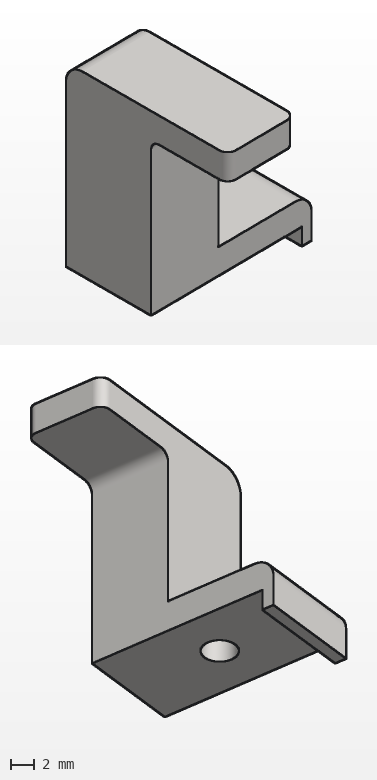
import cadquery as cq

length_x = 19.0
length_y = 19.07
height = 23.0

post_width = 10.0
post_depth = 8.0
arm_thickness = 3.0
lip_height = 2.0
lip_thickness = 1.17

outer_radius = 2.0
inner_radius = 1.0
tip_radius = 1.0

hole_diameter = 3.2
hole_x = post_width / 2
hole_y = post_depth + hole_diameter / 2


def make_upper_bracket():
    """Post with an arm reaching toward +X at its top."""
    arm_underside = height - arm_thickness
    bracket = (
        cq.Workplane("XZ")
        .moveTo(0, lip_height)
        .lineTo(post_width, lip_height)
        .lineTo(post_width, arm_underside)
        .lineTo(length_x, arm_underside)
        .lineTo(length_x, height)
        .lineTo(0, height)
        .close()
        .extrude(-post_depth)
    )
    bracket = bracket.edges("|Y and <X and >Z").fillet(outer_radius)
    inner_corner = cq.NearestToPointSelector((post_width, post_depth / 2, arm_underside))
    bracket = bracket.edges("|Y").edges(inner_corner).fillet(inner_radius)
    return bracket.edges("|Z and >X").fillet(tip_radius)


def make_lower_arm():
    """Arm reaching toward +Y below the post, with a lip hanging from its end."""
    arm_top = lip_height + arm_thickness
    arm = (
        cq.Workplane("YZ")
        .moveTo(0, lip_height)
        .lineTo(length_y - lip_thickness, lip_height)
        .lineTo(length_y - lip_thickness, 0)
        .lineTo(length_y, 0)
        .lineTo(length_y, arm_top)
        .lineTo(0, arm_top)
        .close()
        .extrude(post_width)
    )
    return arm.edges("|X and >Y and >Z").fillet(outer_radius)


def make_hole():
    """Vertical cutter through the full thickness of the lower arm."""
    return (
        cq.Workplane("XY", origin=(hole_x, hole_y, lip_height))
        .circle(hole_diameter / 2)
        .extrude(arm_thickness)
    )


result = make_upper_bracket().union(make_lower_arm().cut(make_hole()))